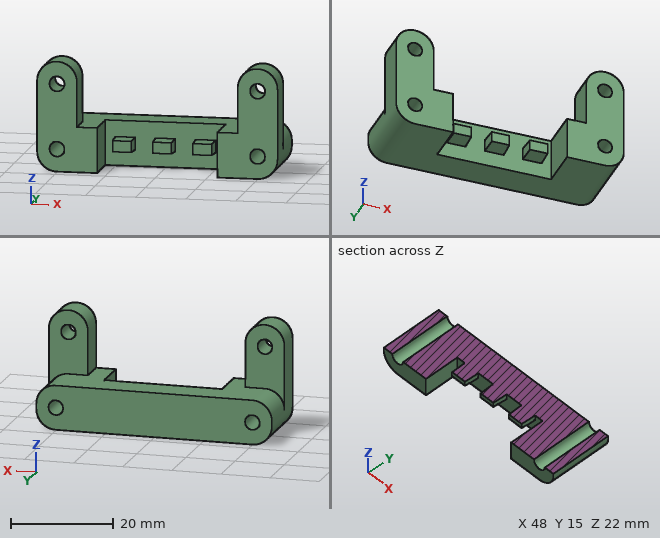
import cadquery as cq

length = 48.0
depth = 15.0
height = 22.0
bar_height = 9.0
corner_radius = 4.0

ear_width = 2 * corner_radius
ear_thickness = 6.0

recess_width = 24.0
recess_depth = 8.5

hole_diameter = 3.0
hole_spacing_x = length - ear_width
lower_hole_z = 4.5
upper_hole_z = 17.5

peg_count = 3
peg_pitch = 8.0
peg_base_width = 4.0
peg_base_height = 2.5
peg_tip_width = 3.7
peg_tip_height = 2.2
peg_length = 3.5
peg_z = 4.5


def front_block(width, block_height, thickness):
    """Block standing on Z = 0, reaching back from the front face."""
    return cq.Workplane("XY").box(
        width, thickness, block_height, centered=(True, False, False)
    )


def make_bar():
    """Bar with rounded ends and the recess cut from its front face."""
    bar = front_block(length, bar_height, depth).edges("|Y").fillet(corner_radius)
    recess = front_block(recess_width, bar_height, recess_depth)
    return bar.cut(recess)


def make_ear(side):
    """Ear with a full round top, ending inside the bar's lower corner."""
    center_x = side * hole_spacing_x / 2
    straight_height = height - 2 * corner_radius
    return (
        cq.Workplane("XZ")
        .moveTo(center_x - corner_radius, corner_radius)
        .line(0, straight_height)
        .radiusArc((center_x + corner_radius, height - corner_radius), corner_radius)
        .line(0, -straight_height)
        .close()
        .extrude(-ear_thickness)
    )


def make_peg(center_x):
    """Peg tapering from the recess floor toward the front."""
    return (
        cq.Workplane("XZ", origin=(center_x, recess_depth, peg_z))
        .rect(peg_base_width, peg_base_height)
        .workplane(offset=peg_length)
        .rect(peg_tip_width, peg_tip_height)
        .loft()
    )


result = make_bar()
for side in (-1, 1):
    result = result.union(make_ear(side))

for index in range(peg_count):
    result = result.union(make_peg((index - (peg_count - 1) / 2) * peg_pitch))

hole_points = [
    (side * hole_spacing_x / 2, z) for side in (-1, 1) for z in (lower_hole_z, upper_hole_z)
]
holes = cq.Workplane("XZ").pushPoints(hole_points).circle(hole_diameter / 2).extrude(-depth)
result = result.cut(holes)